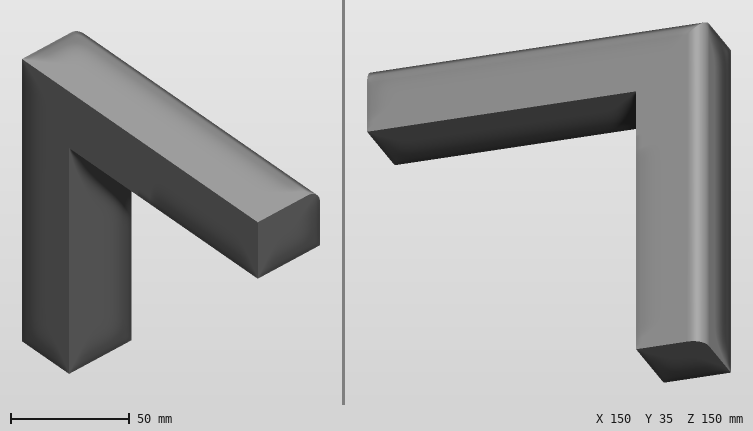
import cadquery as cq

side = 150.0
leg_width = 30.0
depth = 35.0
edge_radius = 7.0

outline = [
    (0, 0),
    (leg_width, 0),
    (leg_width, side - leg_width),
    (side, side - leg_width),
    (side, side),
    (0, side),
]
corner = cq.Workplane("XZ").polyline(outline).close().extrude(-depth)

rear_face = corner.faces(">Y")
outer_edges = rear_face.edges("<X or >Z")
result = outer_edges.fillet(edge_radius)